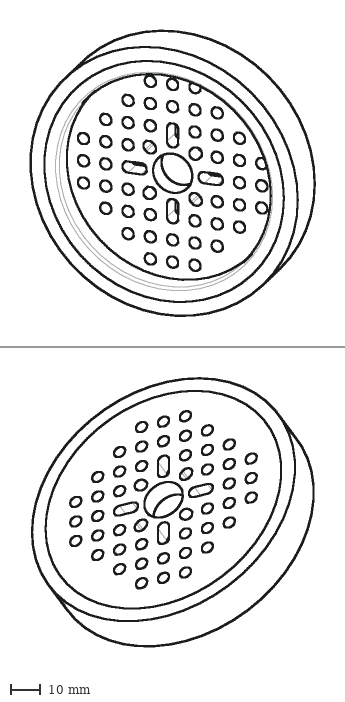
import cadquery as cq
import math

outer_diameter = 96.0
hole_pitch = outer_diameter / 12
width = 2 * hole_pitch
front_y = -width / 2

tire_thickness = 5.0
hub_diameter = outer_diameter - 2 * tire_thickness
recess_diameter = 76.0
recess_depth = width / 2
mouth_fillet = 1.0
bore_diameter = 14.0

hole_diameter = 4.0
row_reach = {0: 4, 1: 4, 2: 3, 3: 2, 4: 1}
grid_limit = max(row_reach)

slot_count = 4
slot_spacing_angle = 360 / slot_count
slot_inner_radius = math.sqrt(2) * hole_pitch
axis_slot_pitches = 2
axis_slot_outer_radius = axis_slot_pitches * hole_pitch
diagonal_slot_outer_radius = 1.5 * hole_pitch


def front_workplane():
    """Workplane on the front face that extrudes toward +Y."""
    return cq.Workplane(cq.Plane(origin=(0, front_y, 0), xDir=(1, 0, 0), normal=(0, 1, 0)))


def disc(diameter, length):
    """Cylinder on the wheel axis that starts at the front face."""
    return front_workplane().circle(diameter / 2).extrude(length)


def takes_hole(column, row):
    """True where the grid has a plain hole rather than the bore or a slot."""
    inside_outline = abs(column) <= row_reach[abs(row)]
    on_axis_slot = column * row == 0 and max(abs(column), abs(row)) <= axis_slot_pitches
    on_diagonal_slot = abs(column) == 1 and abs(row) == 1
    return inside_outline and not on_axis_slot and not on_diagonal_slot


def grid_hole_cutters():
    steps = range(-grid_limit, grid_limit + 1)
    points = [(column * hole_pitch, row * hole_pitch)
              for column in steps for row in steps if takes_hole(column, row)]
    return front_workplane().pushPoints(points).circle(hole_diameter / 2).extrude(width)


def slot_cutter(outer_radius, angle):
    """Radial slot from the inner slot radius to outer_radius, both at its end centres."""
    middle = (slot_inner_radius + outer_radius) / 2
    length = outer_radius - slot_inner_radius + hole_diameter
    slot = front_workplane().center(middle, 0).slot2D(length, hole_diameter).extrude(width)
    return slot.rotate((0, 0, 0), (0, 1, 0), angle)


def make_tire():
    return disc(outer_diameter, width).cut(disc(hub_diameter, width))


def make_hub():
    hub = disc(hub_diameter, width)

    hub = hub.cut(disc(recess_diameter, recess_depth))
    hub = hub.faces("<Y").edges(cq.selectors.RadiusNthSelector(0)).fillet(mouth_fillet)

    hub = hub.cut(disc(bore_diameter, width))
    hub = hub.cut(grid_hole_cutters())

    for index in range(slot_count):
        angle = index * slot_spacing_angle
        hub = hub.cut(slot_cutter(axis_slot_outer_radius, angle))
        hub = hub.cut(slot_cutter(diagonal_slot_outer_radius, angle + slot_spacing_angle / 2))
    return hub


tire = make_tire()
hub = make_hub()
result = cq.Compound.makeCompound([tire.val(), hub.val()])